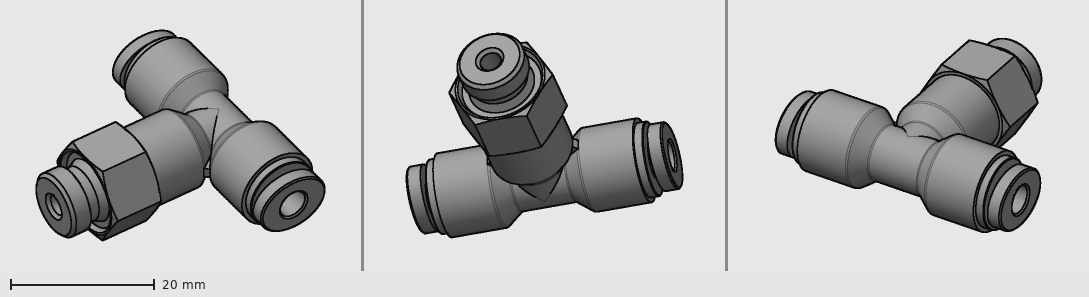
import cadquery as cq
import math


BARREL_RADIUS = 11.9 / 2
WAIST_RADIUS = 8.2 / 2
WAIST_END = 4.0
BARREL_START = 6.45
PORT_FACE = 14.43
BRANCH_FACE = 14.43
BARREL_ROUND = 0.5
WAIST_ROUND = 0.37
WEB_THICKNESS = 1.5
WEB_REACH = 6.75
WEB_DEPTH = 5.77

RING_RADIUS = 10.6 / 2
RING_LENGTH = 1.3
RING_CHAMFER = 0.1

OVERALL_LENGTH = 37.0
NECK_RADIUS = 5.5 / 2
TUBE_RADIUS = 4.18 / 2
TUBE_CHAMFER = 0.25
COLLAR_LENGTH = 2.07
COLLAR_WIDTH = 10.8
COLLAR_HEIGHT = 8.65
COLLAR_CHAMFER = 0.22
SLEEVE_END = OVERALL_LENGTH / 2
COLLAR_BACK = SLEEVE_END - COLLAR_LENGTH
RING_END = PORT_FACE + RING_LENGTH

OVERALL_DEPTH = 33.75
HEX_ACROSS_FLATS = 13.0
HEX_LENGTH = 8.03
HEX_FACE_RADIUS = 6.48
HEX_CHAMFER_DEPTH = 0.37
RECESS_RADIUS = 6.15
RECESS_FLOOR_RADIUS = 5.75
RECESS_DEPTH = 0.78
UNDERCUT_RADIUS = 8.2 / 2
UNDERCUT_ROOT_RADIUS = 4.75
UNDERCUT_ROOT_LENGTH = 1.25
THREAD_RADIUS = 9.73 / 2
THREAD_LENGTH = 3.0
THREAD_BACK_CHAMFER = 0.35
THREAD_TIP_CHAMFER = 0.5
BORE_RADIUS = 3.0 / 2
BORE_CHAMFER = 0.5
STUD_END = OVERALL_DEPTH - BARREL_RADIUS
HEX_END = BRANCH_FACE + HEX_LENGTH
THREAD_START = STUD_END - THREAD_LENGTH

ORIGIN = (0, 0, 0)
Z_DIRECTION = (0, 0, 1)
RUN_SIDES = (-1, 1)
QUARTER_TURN = 90
PORT_TURNS = (0, 180)


def revolve_about_y(profile):
    """Turn a list of (radius, distance along -Y) points into a solid of revolution."""
    points = [(radius, -distance) for radius, distance in profile]
    return cq.Workplane("XY").polyline(points).close().revolve(360, ORIGIN, (0, 1, 0))


def circle_at(distance):
    """Selector for the circular edge centred at a distance along -Y."""
    margin = 0.005
    return cq.selectors.BoxSelector(
        (-margin, -distance - margin, -margin),
        (margin, -distance + margin, margin),
    )


def tee_arm(length):
    """One arm of the tee along -Y: waist, cone and barrel with rounded transitions."""
    arm = revolve_about_y([
        (0, 0),
        (WAIST_RADIUS, 0),
        (WAIST_RADIUS, WAIST_END),
        (BARREL_RADIUS, BARREL_START),
        (BARREL_RADIUS, length),
        (0, length),
    ])
    arm = arm.edges(circle_at(WAIST_END)).fillet(WAIST_ROUND)
    return arm.edges(circle_at(BARREL_START)).fillet(BARREL_ROUND)


def corner_web(side):
    """Web filling the inner corner between the branch and one run arm."""
    outline = [
        (0, 0),
        (side * WEB_REACH, -WEB_DEPTH),
        (side * WEB_DEPTH, -WEB_REACH),
    ]
    web = cq.Workplane("XY").polyline(outline).close()
    return web.extrude(WEB_THICKNESS / 2, both=True)


def make_housing():
    housing = tee_arm(BRANCH_FACE)
    for side in RUN_SIDES:
        run_arm = tee_arm(PORT_FACE).rotate(ORIGIN, Z_DIRECTION, side * QUARTER_TURN)
        housing = housing.union(run_arm)
    for side in RUN_SIDES:
        housing = housing.union(corner_web(side))
    return housing


def port_cylinder(radius, start, end):
    """Cylinder on the +X axis between two distances from the centre."""
    return cq.Workplane("YZ").workplane(offset=start).circle(radius).extrude(end - start)


def make_guide_ring():
    """Ring on the +X port face with a hole for the neck of the sleeve."""
    ring = port_cylinder(RING_RADIUS, PORT_FACE, RING_END).faces(">X").chamfer(RING_CHAMFER)
    return ring.cut(port_cylinder(NECK_RADIUS, PORT_FACE, RING_END))


def make_release_sleeve():
    """Sleeve of the +X port: oval collar, neck through the ring, and tube hole."""
    collar = cq.Workplane("YZ").workplane(offset=COLLAR_BACK)
    collar = collar.ellipse(COLLAR_WIDTH / 2, COLLAR_HEIGHT / 2).extrude(COLLAR_LENGTH)
    collar = collar.faces(">X").chamfer(COLLAR_CHAMFER)
    sleeve = collar.union(port_cylinder(NECK_RADIUS, PORT_FACE, COLLAR_BACK))
    sleeve = sleeve.cut(port_cylinder(TUBE_RADIUS, PORT_FACE, SLEEVE_END))
    return sleeve.faces(">X").edges("%CIRCLE").chamfer(TUBE_CHAMFER)


def hex_body():
    """Hexagon with corners on X and conical chamfers at both ends."""
    across_corners = HEX_ACROSS_FLATS / math.cos(math.pi / 6)
    prism = cq.Workplane("XZ").workplane(offset=BRANCH_FACE).polygon(6, across_corners).extrude(HEX_LENGTH)
    chamfer_cone = revolve_about_y([
        (0, BRANCH_FACE),
        (HEX_FACE_RADIUS, BRANCH_FACE),
        (across_corners / 2, BRANCH_FACE + HEX_CHAMFER_DEPTH),
        (across_corners / 2, HEX_END - HEX_CHAMFER_DEPTH),
        (HEX_FACE_RADIUS, HEX_END),
        (0, HEX_END),
    ])
    return prism.intersect(chamfer_cone)


def seal_recess():
    """Tapered seal recess in the hex end."""
    floor = HEX_END - RECESS_DEPTH
    return revolve_about_y([
        (0, floor),
        (RECESS_FLOOR_RADIUS, floor),
        (RECESS_RADIUS, HEX_END),
        (0, HEX_END),
    ])


def threaded_spigot():
    """Undercut with a conical root, and the thread cylinder with its end chamfers."""
    root = HEX_END - RECESS_DEPTH
    return revolve_about_y([
        (0, root),
        (UNDERCUT_ROOT_RADIUS, root),
        (UNDERCUT_RADIUS, root + UNDERCUT_ROOT_LENGTH),
        (UNDERCUT_RADIUS, THREAD_START - THREAD_BACK_CHAMFER),
        (THREAD_RADIUS, THREAD_START),
        (THREAD_RADIUS, STUD_END - THREAD_TIP_CHAMFER),
        (THREAD_RADIUS - THREAD_TIP_CHAMFER, STUD_END),
        (0, STUD_END),
    ])


def make_stud():
    stud = hex_body().cut(seal_recess()).union(threaded_spigot())
    bore = revolve_about_y([
        (0, BRANCH_FACE),
        (BORE_RADIUS, BRANCH_FACE),
        (BORE_RADIUS, STUD_END - BORE_CHAMFER),
        (BORE_RADIUS + BORE_CHAMFER, STUD_END),
        (0, STUD_END),
    ])
    return stud.cut(bore)


housing = make_housing()
stud = make_stud()
guide_rings = []
release_sleeves = []
for turn in PORT_TURNS:
    guide_rings.append(make_guide_ring().rotate(ORIGIN, Z_DIRECTION, turn).val())
    release_sleeves.append(make_release_sleeve().rotate(ORIGIN, Z_DIRECTION, turn).val())

result = cq.Compound.makeCompound([housing.val(), stud.val(), *guide_rings, *release_sleeves])